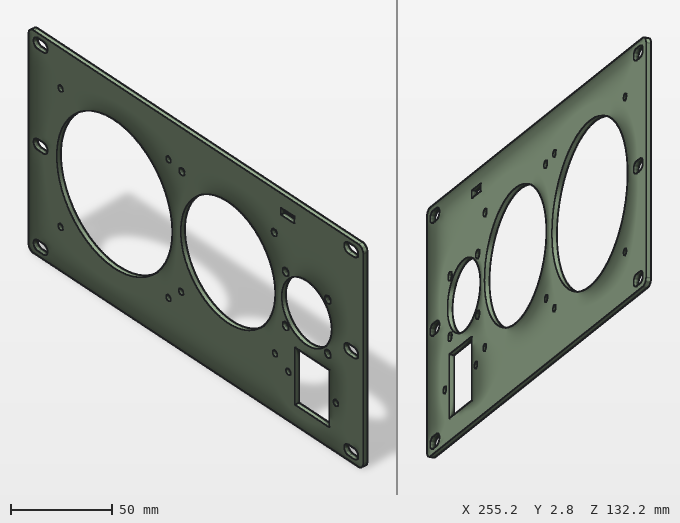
import cadquery as cq

LENGTH = 255.2
THICKNESS = 2.8
HEIGHT = 132.2
CORNER_RADIUS = 3.8

SLOT_LENGTH = 10.7
SLOT_WIDTH = 6.5
SLOT_X = 118.5
SLOT_PITCH = 60.0

SMALL_SCREW = 3.5
MEDIUM_SCREW = 4.0
LARGE_SCREW = 4.5

LARGE_OPENING = 88.0
LARGE_X = -62.0
LARGE_Z = 0.5
LARGE_SCREW_OFFSET = 41.0
LARGE_SCREWS_Z = 1.0

MEDIUM_OPENING = 72.0
MEDIUM_X = 24.5
MEDIUM_Z = 4.3
MEDIUM_SCREW_OFFSET = 35.7
MEDIUM_UPPER_OFFSET = 35.2

SMALL_OPENING = 38.0
SMALL_X = 84.5
SMALL_Z = 5.0
SMALL_SCREW_OFFSET = 16.0

WINDOW_WIDTH = 26.0
WINDOW_HEIGHT = 34.0
WINDOW_X = 88.5
WINDOW_Z = -37.0
WINDOW_SCREW_OFFSET = 18.0

NOTCH_WIDTH = 10.2
NOTCH_HEIGHT = 4.0
NOTCH_X = 70.0
NOTCH_Z = 55.4


def sketch_at(points):
    """Workplane on the mid-plane of the plate, with local axes X and Z."""
    return cq.Workplane("XZ").pushPoints(points)


def through(sketch):
    """Extrude closed outlines to both sides of the mid-plane, over the full thickness."""
    return sketch.extrude(THICKNESS / 2, both=True)


def round_holes(diameter, points):
    return through(sketch_at(points).circle(diameter / 2))


def window(width, height, x, z):
    return through(sketch_at([(x, z)]).rect(width, height))


def pair(x, z, offset):
    """Two points placed symmetrically to the left and right of (x, z)."""
    return [(x - offset, z), (x + offset, z)]


def square(x, z, offset):
    """Four corners of a square centred on (x, z)."""
    return pair(x, z - offset, offset) + pair(x, z + offset, offset)


plate = through(sketch_at([(0, 0)]).rect(LENGTH, HEIGHT))
plate = plate.edges("|Y").fillet(CORNER_RADIUS)

slot_points = [(x, row * SLOT_PITCH) for x in (-SLOT_X, SLOT_X) for row in (-1, 0, 1)]
mounting_slots = through(sketch_at(slot_points).slot2D(SLOT_LENGTH, SLOT_WIDTH))

cutouts = [
    mounting_slots,
    round_holes(LARGE_OPENING, [(LARGE_X, LARGE_Z)]),
    round_holes(SMALL_SCREW, square(LARGE_X, LARGE_SCREWS_Z, LARGE_SCREW_OFFSET)),
    round_holes(MEDIUM_OPENING, [(MEDIUM_X, MEDIUM_Z)]),
    round_holes(SMALL_SCREW, pair(MEDIUM_X, MEDIUM_Z - MEDIUM_SCREW_OFFSET, MEDIUM_SCREW_OFFSET)),
    round_holes(MEDIUM_SCREW, pair(MEDIUM_X, MEDIUM_Z + MEDIUM_SCREW_OFFSET, MEDIUM_UPPER_OFFSET)),
    round_holes(SMALL_OPENING, [(SMALL_X, SMALL_Z)]),
    round_holes(LARGE_SCREW, square(SMALL_X, SMALL_Z, SMALL_SCREW_OFFSET)),
    window(WINDOW_WIDTH, WINDOW_HEIGHT, WINDOW_X, WINDOW_Z),
    round_holes(SMALL_SCREW, pair(WINDOW_X, WINDOW_Z, WINDOW_SCREW_OFFSET)),
    window(NOTCH_WIDTH, NOTCH_HEIGHT, NOTCH_X, NOTCH_Z),
]

result = plate
for cutout in cutouts:
    result = result.cut(cutout)